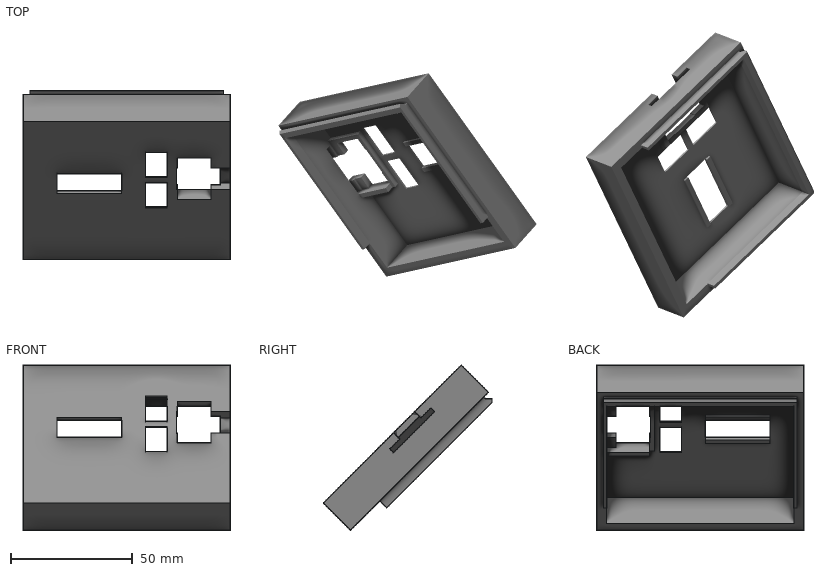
import cadquery as cq

TILT = 45.0

WIDTH = 85.0
LENGTH = 80.0
DEPTH = 15.75
WALL = 4.0
FACE_THICKNESS = 0.75

LIP_INSET = 2.75
LIP_THICKNESS = 1.5
LIP_START = 17.0
LIP_END = LENGTH - LIP_INSET
LIP_DEPTH = 4.0

CATCH_HEIGHT = 1.9
CATCH_ROOT = 0.9
CATCH_FLAT = 0.235

DISPLAY_WINDOW = (14.0, 38.25, 26.4, 11.5)
RAIL_DEPTH = 1.75
RAIL_THICKNESS = 2.0
BUTTON_LEFT = 50.25
BUTTON_SIZE = (8.75, 14.5)
BUTTON_BOTTOMS = (30.0, 47.5)

PORT_LEFT = 63.25
PORT_BOTTOM = 35.0
PORT_WIDTH = 13.75
PORT_HEIGHT = 23.8
PAD_THICKNESS = 2.75
PAD_BORDER = 2.0
NOTCH_LEFT = 62.9
NOTCH_BOTTOM = 40.75
NOTCH_HEIGHT = 12.25
NOTCH_DEPTH = 5.75
UNDERCUT_TOP = 3.6
RIB_THICKNESS = 2.0


def block(left, bottom, width, height, low, high):
    """Box given by its lower-left corner, its size and its Z range."""
    corner = cq.Workplane("XY").box(width, height, high - low, centered=False)
    return corner.translate((left, bottom, low))


def below_face(depth):
    """Z level at a given depth under the outer face."""
    return DEPTH - depth


def shell():
    return block(0, 0, WIDTH, LENGTH, 0, DEPTH)


def lip():
    tip = LIP_END + CATCH_HEIGHT
    tip_top = -CATCH_ROOT - CATCH_HEIGHT
    tip_bottom = tip_top - CATCH_FLAT
    heel = tip - (LIP_DEPTH + tip_bottom)
    outline = [
        (LIP_START, 0),
        (LIP_END, 0),
        (LIP_END, -CATCH_ROOT),
        (tip, tip_top),
        (tip, tip_bottom),
        (heel, -LIP_DEPTH),
        (LIP_START, -LIP_DEPTH),
    ]
    profile = cq.Workplane("YZ").polyline(outline).close()
    return profile.extrude(WIDTH - 2 * LIP_INSET).translate((LIP_INSET, 0, 0))


def body_cavity():
    inner_width = WIDTH - 2 * WALL
    inner_length = LENGTH - 2 * WALL
    return block(WALL, WALL, inner_width, inner_length, 0, below_face(FACE_THICKNESS))


def lip_cavity():
    inset = LIP_INSET + LIP_THICKNESS
    return block(inset, inset, WIDTH - 2 * inset, LENGTH - 2 * inset, -LIP_DEPTH, 0)


def display_rails():
    left, bottom, width, height = DISPLAY_WINDOW
    low = below_face(RAIL_DEPTH)
    lower = block(left, bottom - RAIL_THICKNESS, width, RAIL_THICKNESS, low, DEPTH)
    upper = block(left, bottom + height, width, RAIL_THICKNESS, low, DEPTH)
    return lower.union(upper)


def port_pad():
    left = PORT_LEFT - PAD_BORDER
    bottom = PORT_BOTTOM - PAD_BORDER
    height = PORT_HEIGHT + 2 * PAD_BORDER
    return block(left, bottom, WIDTH - WALL - left, height, below_face(PAD_THICKNESS), DEPTH)


def port_rib():
    bottom = PORT_BOTTOM - RIB_THICKNESS
    width = WIDTH - WALL - PORT_LEFT
    return block(PORT_LEFT, bottom, width, RIB_THICKNESS, below_face(NOTCH_DEPTH), DEPTH)


def face_opening(left, bottom, width, height):
    return block(left, bottom, width, height, below_face(NOTCH_DEPTH), DEPTH)


def wall_undercut():
    left = WIDTH - WALL
    return block(left, PORT_BOTTOM, WALL, PORT_HEIGHT, below_face(NOTCH_DEPTH), below_face(UNDERCUT_TOP))


cover = shell().union(lip()).cut(body_cavity()).cut(lip_cavity())
cover = cover.union(display_rails()).union(port_pad()).union(port_rib())

cover = cover.cut(face_opening(*DISPLAY_WINDOW))
for button_bottom in BUTTON_BOTTOMS:
    cover = cover.cut(face_opening(BUTTON_LEFT, button_bottom, *BUTTON_SIZE))
cover = cover.cut(face_opening(PORT_LEFT, PORT_BOTTOM, PORT_WIDTH, PORT_HEIGHT))
cover = cover.cut(face_opening(NOTCH_LEFT, NOTCH_BOTTOM, WIDTH - NOTCH_LEFT, NOTCH_HEIGHT))
cover = cover.cut(wall_undercut())

result = cover.rotate((0, 0, 0), (1, 0, 0), TILT)